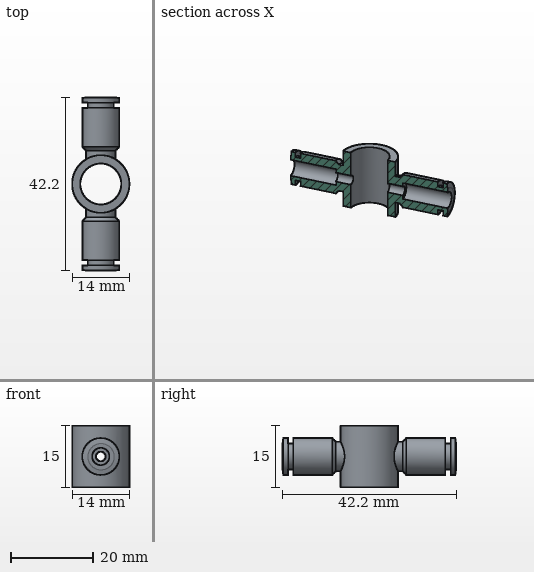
import cadquery as cq

ring_diameter = 14.0
ring_bore_diameter = 9.9
ring_height = 15.0

overall_length = 42.2
neck_diameter = 7.2
socket_diameter = 9.0
groove_diameter = 6.4
collar_land_diameter = 6.4
tube_bore_diameter = 4.2
flow_hole_diameter = 2.3

socket_shoulder = 9.0
groove_start = 18.5
collar_start = 19.75
collar_face_rise = 0.2
socket_tip = overall_length / 2
collar_rim = socket_tip - collar_face_rise
shoulder_chamfer = (socket_diameter - neck_diameter) / 2
neck_end = socket_shoulder - shoulder_chamfer


def make_socket():
    """Solid socket of revolution pointing along +Y, starting at the ring axis."""
    neck_radius = neck_diameter / 2
    socket_radius = socket_diameter / 2
    groove_radius = groove_diameter / 2
    profile = [
        (0, 0),
        (neck_radius, 0),
        (neck_radius, neck_end),
        (socket_radius, socket_shoulder),
        (socket_radius, groove_start),
        (groove_radius, groove_start),
        (groove_radius, collar_start),
        (socket_radius, collar_start),
        (socket_radius, collar_rim),
        (collar_land_diameter / 2, socket_tip),
        (0, socket_tip),
    ]
    return cq.Workplane("XY").polyline(profile).close().revolve(360, (0, 0), (0, 1))


def make_socket_bore():
    """Tube bore from the socket tip to the shoulder, then a flow hole into the ring."""
    flow_radius = flow_hole_diameter / 2
    tube_radius = tube_bore_diameter / 2
    profile = [
        (0, 0),
        (flow_radius, 0),
        (flow_radius, socket_shoulder),
        (tube_radius, socket_shoulder),
        (tube_radius, socket_tip),
        (0, socket_tip),
    ]
    return cq.Workplane("XY").polyline(profile).close().revolve(360, (0, 0), (0, 1))


def on_both_sides(shape):
    """The shape together with its mirror image across the XZ plane."""
    return shape.union(shape.mirror("XZ"))


def make_upright_cylinder(diameter):
    """Cylinder on the Z axis, as tall as the ring and centred on the origin."""
    return cq.Workplane("XY").circle(diameter / 2).extrude(ring_height / 2, both=True)


body = make_upright_cylinder(ring_diameter).union(on_both_sides(make_socket()))
body = body.cut(make_upright_cylinder(ring_bore_diameter))
result = body.cut(on_both_sides(make_socket_bore()))